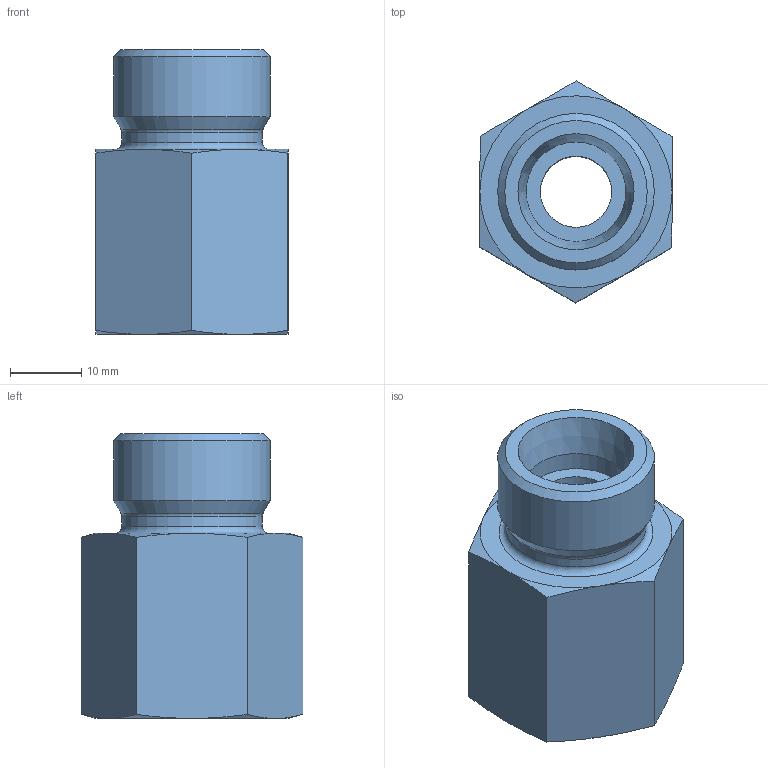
import cadquery as cq
import math

total_height = 40.0
hex_height = 26.0

hex_sides = 6
across_flats = 27.0
across_corners = across_flats / math.cos(math.pi / hex_sides)
hex_turn = 90.0 - 0.18
hex_chamfer_angle = 15.0
envelope_margin = 1.0

spigot_diameter = 22.0
spigot_chamfer = 1.0
groove_diameter = 19.7
groove_width = 4.6
groove_ramp_angle = 30.0
groove_radius = 1.0

bore_diameter = 10.0
seat_diameter = 14.0
seat_depth = 8.0
cone_mouth_diameter = 16.3
cone_half_angle = 12.0


def revolve_about_z(profile):
    """Turn a closed (radius, height) profile around the Z axis."""
    return profile.close().revolve(360, (0, 0, 0), (0, 1, 0))


def make_hex_body():
    """Hexagonal prism with corners toward +Y and -Y, chamfered from a circle across the flats."""
    prism = (
        cq.Workplane("XY")
        .polygon(hex_sides, across_corners)
        .extrude(hex_height)
        .rotate((0, 0, 0), (0, 0, 1), hex_turn)
    )
    face_radius = across_flats / 2
    outer_radius = across_corners / 2 + envelope_margin
    chamfer_drop = (outer_radius - face_radius) * math.tan(math.radians(hex_chamfer_angle))
    envelope = revolve_about_z(
        cq.Workplane("XZ")
        .moveTo(0, 0)
        .lineTo(face_radius, 0)
        .lineTo(outer_radius, chamfer_drop)
        .lineTo(outer_radius, hex_height - chamfer_drop)
        .lineTo(face_radius, hex_height)
        .lineTo(0, hex_height)
    )
    return prism.intersect(envelope)


def make_spigot():
    """Spigot with a chamfered tip and a rounded relief groove at its root."""
    spigot_radius = spigot_diameter / 2
    floor_radius = groove_diameter / 2
    groove_top = hex_height + groove_width

    ramp = math.radians(groove_ramp_angle)
    ramp_end = groove_top - (spigot_radius - floor_radius) / math.tan(ramp)
    tangent_length = groove_radius * math.tan(ramp / 2)
    arc_bottom = (floor_radius, ramp_end - tangent_length)
    arc_top = (
        floor_radius + tangent_length * math.sin(ramp),
        ramp_end + tangent_length * math.cos(ramp),
    )

    return revolve_about_z(
        cq.Workplane("XZ")
        .moveTo(0, hex_height)
        .lineTo(floor_radius + groove_radius, hex_height)
        .radiusArc((floor_radius, hex_height + groove_radius), groove_radius)
        .lineTo(*arc_bottom)
        .tangentArcPoint(arc_top, relative=False)
        .lineTo(spigot_radius, groove_top)
        .lineTo(spigot_radius, total_height - spigot_chamfer)
        .lineTo(spigot_radius - spigot_chamfer, total_height)
        .lineTo(0, total_height)
    )


def make_bore():
    """Through bore opening into a cylindrical seat with a conical mouth."""
    bore_radius = bore_diameter / 2
    seat_radius = seat_diameter / 2
    mouth_radius = cone_mouth_diameter / 2
    cone_depth = (mouth_radius - seat_radius) / math.tan(math.radians(cone_half_angle))
    seat_floor = total_height - seat_depth
    return revolve_about_z(
        cq.Workplane("XZ")
        .moveTo(0, 0)
        .lineTo(bore_radius, 0)
        .lineTo(bore_radius, seat_floor)
        .lineTo(seat_radius, seat_floor)
        .lineTo(seat_radius, total_height - cone_depth)
        .lineTo(mouth_radius, total_height)
        .lineTo(0, total_height)
    )


result = make_hex_body().union(make_spigot()).cut(make_bore())